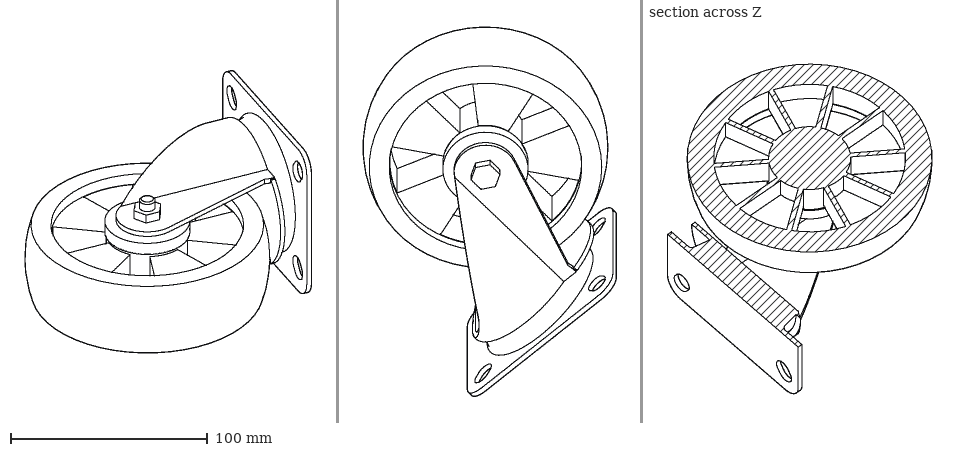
import cadquery as cq
import math


SWIVEL_X = -39.7
PLATE_TOP = 87.6
SPAN = 304.1

PLATE_LENGTH = 100.0
PLATE_WIDTH = 85.0
PLATE_THICKNESS = 2.7
PLATE_CORNER = 10.0
SLOT_RADIUS = 4.9
SLOT_OUTER = (40.0, 30.0)
SLOT_INNER = (38.3, 27.7)

HEAD_TOP_RADIUS = 34.8
HEAD_BOTTOM_RADIUS = 33.2
HEAD_FLARE_RADIUS = 36.5
HEAD_FLARE_HEIGHT = 2.3

FORK_TOP = 74.0
FORK_RADIUS = 73.5 / 2
FORK_WALL = 2.7
ROOF_THICKNESS = 2.5
ARM_OUTER_Z = 25.7
ARM_END_RADIUS = 16.0
FRONT_EDGE_ANGLE = 56.4
FRONT_EDGE_LENGTH = 80.0
REAR_EDGE_ANGLE = 71.9
REAR_EDGE_X = 34.7
REAR_NOTCH = 0.6
TAB_REACH = 46.8
TAB_END_RADIUS = 33.2
TAB_HALF_WIDTH = 25.1

WHEEL_RADIUS = 62.3
FACE_RADIUS = 59.2
WHEEL_WIDTH = 40.0
RIM_RADIUS = 98.0 / 2
POCKET_RADIUS = 48.7
WEB_HALF = 14.0
WEB_THICKNESS = 2.9
PANELS_PER_SIDE = 5
HUB_FLANGE_RADIUS = 43.3 / 2
HUB_FLANGE_HEIGHT = 6.7
HUB_HALF = 22.4
HUB_CORE_RADIUS = 21.0

SLEEVE_RADIUS = 7.6
BOLT_DIAMETER = 8.0
BOLT_END = 35.6
BOLT_CHAMFER = 0.9
NUT_CORNERS = 15.0
NUT_HEIGHT = 4.7


def make_plate():
    plate = (
        cq.Workplane("XZ", origin=(SWIVEL_X, PLATE_TOP, 0))
        .rect(PLATE_LENGTH, PLATE_WIDTH)
        .extrude(PLATE_THICKNESS)
        .edges("|Y").fillet(PLATE_CORNER)
    )
    dx = SLOT_OUTER[0] - SLOT_INNER[0]
    dz = SLOT_OUTER[1] - SLOT_INNER[1]
    slot_length = math.hypot(dx, dz) + 2 * SLOT_RADIUS
    slot_angle = math.degrees(math.atan2(dz, dx))
    mid_x = (SLOT_OUTER[0] + SLOT_INNER[0]) / 2
    mid_z = (SLOT_OUTER[1] + SLOT_INNER[1]) / 2
    for side_x in (-1, 1):
        for side_z in (-1, 1):
            slot = (
                cq.Workplane("XZ", origin=(SWIVEL_X, PLATE_TOP, 0))
                .center(side_x * mid_x, side_z * mid_z)
                .slot2D(slot_length, 2 * SLOT_RADIUS, side_x * side_z * slot_angle)
                .extrude(PLATE_THICKNESS)
            )
            plate = plate.cut(slot)
    return plate


def make_head():
    plate_bottom = PLATE_TOP - PLATE_THICKNESS
    return (
        cq.Workplane("XY")
        .moveTo(0, FORK_TOP)
        .lineTo(HEAD_BOTTOM_RADIUS, FORK_TOP)
        .lineTo(HEAD_TOP_RADIUS, plate_bottom - HEAD_FLARE_HEIGHT)
        .tangentArcPoint((HEAD_FLARE_RADIUS, plate_bottom), relative=False)
        .lineTo(0, plate_bottom)
        .close()
        .revolve(360, (0, 0, 0), (0, 1, 0))
        .translate((SWIVEL_X, 0, 0))
    )


def fork_column(radius, half_width, top):
    """Round column on the swivel axis that runs into a flat-sided block towards +X."""
    plane = cq.Workplane("XZ", origin=(SWIVEL_X, top, 0))
    start = math.sqrt(radius ** 2 - half_width ** 2)
    block = plane.center(start + SPAN / 2, 0).rect(SPAN, 2 * half_width).extrude(SPAN)
    return plane.circle(radius).extrude(SPAN).union(block)


def make_fork():
    front = math.radians(FRONT_EDGE_ANGLE)
    rear = math.radians(REAR_EDGE_ANGLE)
    front_end = (-ARM_END_RADIUS * math.sin(front), -ARM_END_RADIUS * math.cos(front))
    front_bend = (
        front_end[0] - FRONT_EDGE_LENGTH * math.cos(front),
        front_end[1] + FRONT_EDGE_LENGTH * math.sin(front),
    )
    rear_end = (ARM_END_RADIUS * math.sin(rear), ARM_END_RADIUS * math.cos(rear))
    rear_x = SWIVEL_X + REAR_EDGE_X
    notch_x = rear_x - REAR_NOTCH
    notch_y = rear_end[1] + (rear_end[0] - notch_x) * math.tan(rear)
    side = (
        cq.Workplane("XY", origin=(0, 0, -SPAN / 2))
        .moveTo(*front_end)
        .lineTo(*front_bend)
        .tangentArcPoint((SWIVEL_X - FORK_RADIUS, FORK_TOP), relative=False)
        .lineTo(rear_x, FORK_TOP)
        .lineTo(rear_x, FORK_TOP - ROOF_THICKNESS)
        .lineTo(notch_x, notch_y)
        .lineTo(*rear_end)
        .threePointArc((0, -ARM_END_RADIUS), front_end)
        .close()
        .extrude(SPAN)
    )
    outer = fork_column(FORK_RADIUS, ARM_OUTER_Z, FORK_TOP)
    inner = fork_column(FORK_RADIUS - FORK_WALL, ARM_OUTER_Z - FORK_WALL, FORK_TOP - ROOF_THICKNESS)
    tab_end = (
        cq.Workplane("XZ", origin=(SWIVEL_X + TAB_REACH - TAB_END_RADIUS, FORK_TOP, 0))
        .circle(TAB_END_RADIUS)
        .extrude(ROOF_THICKNESS)
    )
    tab = (
        cq.Workplane("XZ", origin=(SWIVEL_X, FORK_TOP, 0))
        .center(TAB_REACH / 2, 0)
        .rect(TAB_REACH, 2 * TAB_HALF_WIDTH)
        .extrude(ROOF_THICKNESS)
        .intersect(tab_end)
    )
    return side.intersect(outer).cut(inner).union(tab)


def ring(outer, inner, bottom, height):
    return cq.Workplane("XY", origin=(0, 0, bottom)).circle(outer).circle(inner).extrude(height)


def make_pockets(first_angle, bottom, height):
    """Web pockets of one side, each a sector narrowed by half a wall on both flanks."""
    half_sector = math.radians(180 / (2 * PANELS_PER_SIDE))
    apex = WEB_THICKNESS / 2 / math.sin(half_sector)
    reach = 2 * POCKET_RADIUS
    spread = reach * math.tan(half_sector)
    pockets = None
    for i in range(PANELS_PER_SIDE):
        wedge = (
            cq.Workplane("XY", origin=(0, 0, bottom))
            .polyline([(apex, 0), (apex + reach, -spread), (apex + reach, spread)])
            .close()
            .extrude(height)
            .rotate((0, 0, 0), (0, 0, 1), first_angle + i * 360 / PANELS_PER_SIDE)
        )
        pockets = wedge if pockets is None else pockets.union(wedge)
    return pockets.intersect(ring(POCKET_RADIUS, HUB_CORE_RADIUS, bottom, height))


def make_wheel():
    half = WHEEL_WIDTH / 2
    wheel = (
        cq.Workplane("XZ")
        .moveTo(0, -half)
        .lineTo(FACE_RADIUS, -half)
        .threePointArc((WHEEL_RADIUS, 0), (FACE_RADIUS, half))
        .lineTo(0, half)
        .close()
        .revolve(360, (0, 0, 0), (0, 1, 0))
    )
    recess = half - WEB_HALF
    wheel = wheel.cut(ring(RIM_RADIUS, HUB_CORE_RADIUS, WEB_HALF, recess))
    wheel = wheel.cut(ring(RIM_RADIUS, HUB_CORE_RADIUS, -half, recess))
    depth = 2 * WEB_HALF - WEB_THICKNESS
    wheel = wheel.cut(make_pockets(180 / PANELS_PER_SIDE, WEB_THICKNESS - WEB_HALF, depth))
    wheel = wheel.cut(make_pockets(0, -WEB_HALF, depth))
    for bottom in (HUB_HALF - HUB_FLANGE_HEIGHT, -HUB_HALF):
        wheel = wheel.union(
            cq.Workplane("XY", origin=(0, 0, bottom)).circle(HUB_FLANGE_RADIUS).extrude(HUB_FLANGE_HEIGHT)
        )
    return wheel


def make_bolt():
    bolt = cq.Workplane("XY").circle(BOLT_DIAMETER / 2).extrude(BOLT_END).faces(">Z").chamfer(BOLT_CHAMFER)
    sleeve = cq.Workplane("XY").circle(SLEEVE_RADIUS).extrude(ARM_OUTER_Z, both=True)
    bolt = bolt.union(sleeve)
    for bottom in (ARM_OUTER_Z, -ARM_OUTER_Z - NUT_HEIGHT):
        nut = (
            cq.Workplane("XY", origin=(0, 0, bottom))
            .transformed(rotate=(0, 0, 90))
            .polygon(6, NUT_CORNERS)
            .extrude(NUT_HEIGHT)
        )
        bolt = bolt.union(nut)
    return bolt


result = make_plate().union(make_head()).union(make_fork()).union(make_wheel()).union(make_bolt())